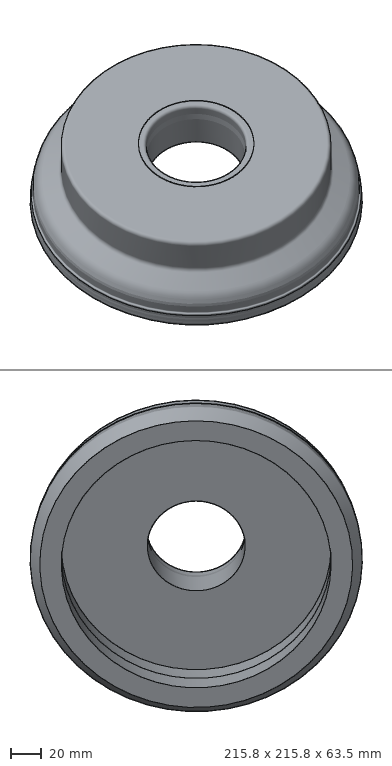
import cadquery as cq
import math

outer_radius = 107.875
height = 63.5

drum_radius = 87.6
drum_edge_fillet = 2.4
drum_foot_z = 39.9

shoulder_slope = math.radians(29)
foot_fillet = 3.1
skirt_radius = 106.0
skirt_top_z = 22.8
steep_cone_tilt = math.radians(15)
steep_cone_height = 1.95
mid_cone_tilt = math.radians(30)
mid_cone_height = 2.6

skirt_bottom_z = 17.2
flare_fillet = 0.6
rim_edge_fillet = 0.6

recess_radius = 37.5
recess_depth = 0.4
bore_top_radius = 32.4
bore_edge_fillet = 2.0
bore_taper_top_depth = 7.7
bore_taper_bottom_depth = 12.0
bore_radius = 31.75
web_thickness = 34.0

joint_z = 15.3
joint_radius = skirt_radius + flare_fillet + rim_edge_fillet
top_band_z = 14.6
top_band_radius = 107.25
upper_band_z = 13.0
upper_band_radius = 107.3
middle_band_z = 11.8
middle_band_radius = 107.55
lower_band_z = 9.8
lower_band_radius = 107.7
lip_top_z = 8.6
lip_bottom_z = 7.9
lip_fillet = 1.0
base_taper = math.radians(40)

cavity_radius = drum_radius


def arc_point(center_r, center_z, radius, angle):
    """Point at the given angle on an arc in the radius-height plane."""
    return (center_r + radius * math.cos(angle), center_z + radius * math.sin(angle))


def turn(profile):
    """Revolve a closed radius-height profile about the Z axis."""
    return profile.close().revolve(360, (0, 0, 0), (0, 1, 0))


def make_cup():
    """Drum with a central bore, sloping shoulder, skirt and flared rim."""
    diagonal = math.radians(45)

    foot_center_r = drum_radius + foot_fillet
    foot_turn = math.pi / 2 - shoulder_slope
    foot_end = arc_point(foot_center_r, drum_foot_z, foot_fillet, math.pi + foot_turn)
    foot_middle = arc_point(foot_center_r, drum_foot_z, foot_fillet, math.pi + foot_turn / 2)

    steep_top_r = skirt_radius - steep_cone_height * math.tan(steep_cone_tilt)
    steep_top_z = skirt_top_z + steep_cone_height
    mid_top_r = steep_top_r - mid_cone_height * math.tan(mid_cone_tilt)
    mid_top_z = steep_top_z + mid_cone_height

    arc_top_angle = math.pi / 2 - shoulder_slope
    arc_bottom_angle = mid_cone_tilt
    slope = math.tan(shoulder_slope)
    arc_drop = math.sin(arc_top_angle) - math.sin(arc_bottom_angle)
    arc_run = math.cos(arc_bottom_angle) - math.cos(arc_top_angle)
    slope_z_above_cone = foot_end[1] - slope * (mid_top_r - foot_end[0])
    shoulder_radius = (slope_z_above_cone - mid_top_z) / (arc_drop - slope * arc_run)
    arc_center_r = mid_top_r - shoulder_radius * math.cos(arc_bottom_angle)
    arc_center_z = mid_top_z - shoulder_radius * math.sin(arc_bottom_angle)
    arc_top = arc_point(arc_center_r, arc_center_z, shoulder_radius, arc_top_angle)
    arc_mid_angle = (arc_top_angle + arc_bottom_angle) / 2
    arc_mid = arc_point(arc_center_r, arc_center_z, shoulder_radius, arc_mid_angle)

    flare_center_r = skirt_radius + flare_fillet
    flare_z = skirt_bottom_z - flare_fillet
    rim_top_z = flare_z - rim_edge_fillet
    drum_edge_center_r = drum_radius - drum_edge_fillet
    drum_edge_z = height - drum_edge_fillet

    recess_z = height - recess_depth
    mouth_radius = bore_top_radius + bore_edge_fillet
    mouth_z = recess_z - bore_edge_fillet

    profile = (
        cq.Workplane("XZ")
        .moveTo(recess_radius, height)
        .lineTo(drum_edge_center_r, height)
        .threePointArc(
            arc_point(drum_edge_center_r, drum_edge_z, drum_edge_fillet, diagonal),
            (drum_radius, drum_edge_z),
        )
        .lineTo(drum_radius, drum_foot_z)
        .threePointArc(foot_middle, foot_end)
        .lineTo(*arc_top)
        .threePointArc(arc_mid, (mid_top_r, mid_top_z))
        .lineTo(steep_top_r, steep_top_z)
        .lineTo(skirt_radius, skirt_top_z)
        .lineTo(skirt_radius, skirt_bottom_z)
        .threePointArc(
            arc_point(flare_center_r, skirt_bottom_z, flare_fillet, math.pi + diagonal),
            (flare_center_r, flare_z),
        )
        .threePointArc(
            arc_point(flare_center_r, rim_top_z, rim_edge_fillet, diagonal),
            (joint_radius, rim_top_z),
        )
        .lineTo(joint_radius, joint_z)
        .lineTo(cavity_radius, joint_z)
        .lineTo(cavity_radius, height - web_thickness)
        .lineTo(bore_radius, height - web_thickness)
        .lineTo(bore_radius, height - bore_taper_bottom_depth)
        .lineTo(bore_top_radius, height - bore_taper_top_depth)
        .lineTo(bore_top_radius, mouth_z)
        .threePointArc(
            arc_point(mouth_radius, mouth_z, bore_edge_fillet, math.pi - diagonal),
            (mouth_radius, recess_z),
        )
        .lineTo(recess_radius, recess_z)
    )
    return turn(profile)


def make_lip_ring():
    """Sealing ring under the cup, widening to the lip and then tapering in."""
    lip_center_r = outer_radius - lip_fillet
    taper_top = arc_point(lip_center_r, lip_bottom_z, lip_fillet, -base_taper)
    base_radius = taper_top[0] - taper_top[1] * math.tan(base_taper)

    profile = (
        cq.Workplane("XZ")
        .moveTo(cavity_radius, 0)
        .lineTo(base_radius, 0)
        .lineTo(*taper_top)
        .threePointArc(
            arc_point(lip_center_r, lip_bottom_z, lip_fillet, -base_taper / 2),
            (outer_radius, lip_bottom_z),
        )
        .lineTo(outer_radius, lip_top_z)
        .lineTo(lower_band_radius, lower_band_z)
        .lineTo(middle_band_radius, middle_band_z)
        .lineTo(upper_band_radius, upper_band_z)
        .lineTo(top_band_radius, top_band_z)
        .lineTo(joint_radius, joint_z)
        .lineTo(cavity_radius, joint_z)
    )
    return turn(profile)


cup = make_cup()
lip_ring = make_lip_ring()

result = cq.Compound.makeCompound([cup.val(), lip_ring.val()])